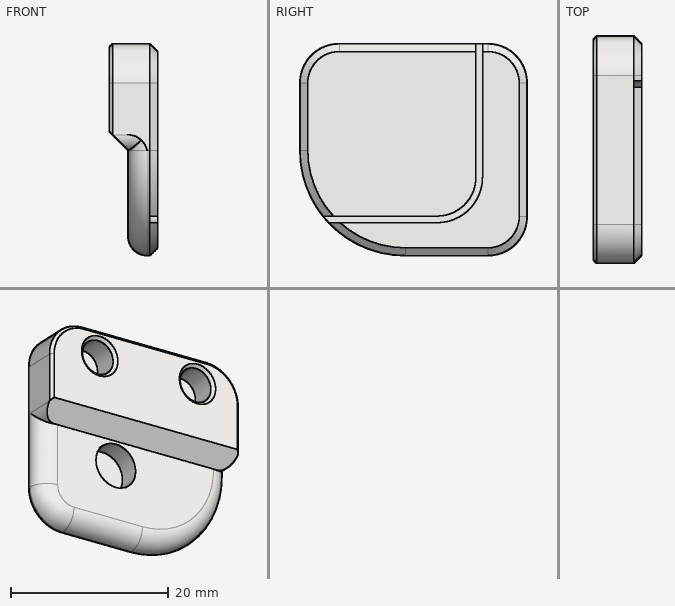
import cadquery as cq
import math

WIDTH = 28.93
HEIGHT = 27.0
THICKNESS = 6.2
CORNER_RADIUS = 5.0
LARGE_CORNER_RADIUS = 13.42
BACK_CHAMFER = 1.0
FRONT_CHAMFER = 0.43

STEP_DEPTH = 2.37
STEP_BASE_Z = LARGE_CORNER_RADIUS
LOWER_EDGE_FILLET = 2.52
RAMP_CORNER_RADIUS = 1.97

UPPER_HOLE_DIAMETER = 4.7
UPPER_HOLE_DEPTH = 4.0
UPPER_HOLE_CHAMFER = 0.43
UPPER_HOLE_SPACING = 15.0
UPPER_HOLE_MIDDLE_Y = -0.43
UPPER_HOLE_Z = 23.4

LOWER_HOLE_DIAMETER = 6.08
LOWER_HOLE_DEPTH = 3.0
LOWER_HOLE_Y = 3.0
LOWER_HOLE_Z = 9.98

GROOVE_WIDTH = 0.85
GROOVE_DEPTH = BACK_CHAMFER
GROOVE_BEND_RADIUS = 5.35

HALF_WIDTH = WIDTH / 2
OVERCUT = 0.3


def outline_plate(front_x):
    """Plate from front_x to the back face: three equal corners, a large one at the bottom (-Y)."""
    plate = cq.Workplane("XY", origin=(front_x, 0, 0)).box(
        THICKNESS - front_x, WIDTH, HEIGHT, centered=(False, True, False)
    )
    plate = plate.edges("|X and (>Z or >Y)").fillet(CORNER_RADIUS)
    plate = plate.edges("|X and <Z and <Y").fillet(LARGE_CORNER_RADIUS)
    return plate.faces(">X").chamfer(BACK_CHAMFER)


def thin_plate():
    """Full outline at the reduced thickness, with its front edges rounded."""
    return outline_plate(STEP_DEPTH).faces("<X").edges().fillet(LOWER_EDGE_FILLET)


def space_below_ramp():
    """Everything below the 45 degree ramp and the step base."""
    ramp_top_z = STEP_BASE_Z + STEP_DEPTH + OVERCUT
    return (
        cq.Workplane("XZ", origin=(0, HALF_WIDTH + OVERCUT, 0))
        .moveTo(-OVERCUT, -OVERCUT)
        .lineTo(THICKNESS + OVERCUT, -OVERCUT)
        .lineTo(THICKNESS + OVERCUT, STEP_BASE_Z)
        .lineTo(STEP_DEPTH, STEP_BASE_Z)
        .lineTo(-OVERCUT, ramp_top_z)
        .close()
        .extrude(WIDTH + 2 * OVERCUT)
    )


def ramp_corner(side):
    """Waste along X outside the rounded lower corner of the thick part; side is +1 or -1 in Y."""
    edge_y = side * HALF_WIDTH
    inner_y = edge_y - side * RAMP_CORNER_RADIUS
    arc_top_z = STEP_BASE_Z + RAMP_CORNER_RADIUS
    square = (
        cq.Workplane("YZ")
        .rect(RAMP_CORNER_RADIUS, RAMP_CORNER_RADIUS)
        .extrude(THICKNESS)
        .translate((0, (edge_y + inner_y) / 2, (STEP_BASE_Z + arc_top_z) / 2))
    )
    rounding = (
        cq.Workplane("YZ")
        .center(inner_y, arc_top_z)
        .circle(RAMP_CORNER_RADIUS)
        .extrude(THICKNESS)
    )
    return square.cut(rounding)


def notch_limit():
    """Rounded end of the -Y ramp corner: level as far as the step, then curving down."""
    arc_centre_z = STEP_BASE_Z + RAMP_CORNER_RADIUS - LOWER_EDGE_FILLET
    level_part = cq.Workplane("XY").box(
        STEP_DEPTH, WIDTH, HEIGHT, centered=(False, True, False)
    )
    round_part = (
        cq.Workplane("XZ", origin=(0, HALF_WIDTH, 0))
        .center(STEP_DEPTH, arc_centre_z)
        .circle(LOWER_EDGE_FILLET)
        .extrude(WIDTH)
    )
    return level_part.union(round_part)


def thick_part():
    """Upper part at full thickness, down to the ramp, with rounded lower corners."""
    part = outline_plate(0).faces("<X").chamfer(FRONT_CHAMFER)
    part = part.cut(space_below_ramp())
    part = part.cut(ramp_corner(1))
    return part.cut(ramp_corner(-1).intersect(notch_limit()))


def round_hole(front_x, y, z, diameter, depth):
    """Blind hole drilled along +X from front_x."""
    return cq.Workplane("YZ", origin=(front_x, y, z)).circle(diameter / 2).extrude(depth)


def upper_hole(y):
    """Blind hole with a conical mouth in the thick part."""
    hole = round_hole(0, y, UPPER_HOLE_Z, UPPER_HOLE_DIAMETER, UPPER_HOLE_DEPTH)
    hole_radius = UPPER_HOLE_DIAMETER / 2
    cone = cq.Solid.makeCone(
        hole_radius + UPPER_HOLE_CHAMFER,
        hole_radius,
        UPPER_HOLE_CHAMFER,
        cq.Vector(0, y, UPPER_HOLE_Z),
        cq.Vector(1, 0, 0),
    )
    return hole.union(cq.Workplane(cone))


def lower_hole():
    """Blind hole in the front of the thin part."""
    return round_hole(STEP_DEPTH, LOWER_HOLE_Y, LOWER_HOLE_Z, LOWER_HOLE_DIAMETER, LOWER_HOLE_DEPTH)


def back_groove():
    """Groove in the back face whose quarter bend is concentric with the lower hole."""
    outer_radius = GROOVE_BEND_RADIUS + GROOVE_WIDTH / 2
    inner_radius = GROOVE_BEND_RADIUS - GROOVE_WIDTH / 2
    top_reach = HEIGHT - LOWER_HOLE_Z + OVERCUT
    side_reach = -HALF_WIDTH - LOWER_HOLE_Y - OVERCUT
    diagonal = math.sqrt(0.5)
    return (
        cq.Workplane("YZ", origin=(THICKNESS - GROOVE_DEPTH, LOWER_HOLE_Y, LOWER_HOLE_Z))
        .moveTo(outer_radius, top_reach)
        .lineTo(outer_radius, 0)
        .threePointArc((outer_radius * diagonal, -outer_radius * diagonal), (0, -outer_radius))
        .lineTo(side_reach, -outer_radius)
        .lineTo(side_reach, -inner_radius)
        .lineTo(0, -inner_radius)
        .threePointArc((inner_radius * diagonal, -inner_radius * diagonal), (inner_radius, 0))
        .lineTo(inner_radius, top_reach)
        .close()
        .extrude(GROOVE_DEPTH + OVERCUT)
    )


result = thin_plate().union(thick_part())
for side in (-1, 1):
    result = result.cut(upper_hole(UPPER_HOLE_MIDDLE_Y + side * UPPER_HOLE_SPACING / 2))
result = result.cut(lower_hole()).cut(back_groove())